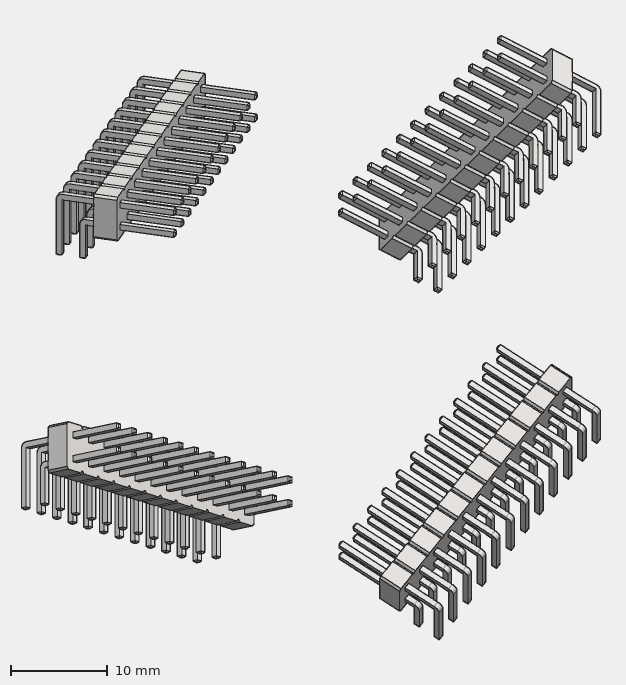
import cadquery as cq


header_length = 30.48
column_count = 12
row_count = 2
pin_width = 0.65
overall_depth = 12.9
overall_height = 8.08
upper_leg_to_housing = 4.35
notch_depth = 0.253
tip_chamfer = 0.15

pitch = header_length / column_count
housing_depth = pitch
housing_height = row_count * pitch
bend_radius = pin_width

pin_end_x = overall_depth
housing_top_z = overall_height
housing_bottom_z = housing_top_z - housing_height
upper_pin_z = housing_top_z - pitch / 2


def make_housing():
    """Row of square-pitch cells whose chamfered corners meet as V-notches."""
    cells = cq.Workplane("XY")
    for column in range(column_count):
        cell = (
            cq.Workplane("XY")
            .box(housing_depth, pitch, housing_height, centered=False)
            .edges("|X")
            .chamfer(notch_depth)
            .translate((upper_leg_to_housing, column * pitch, housing_bottom_z))
        )
        cells = cells.union(cell)
    return cells


def make_pin(row):
    """Bent pin of one row, centred on Y = 0; each lower row is shifted one pitch toward +X."""
    leg_x = row * pitch
    top_z = upper_pin_z - row * pitch + pin_width / 2
    return (
        cq.Workplane("XZ")
        .moveTo(leg_x, 0)
        .lineTo(leg_x, top_z - bend_radius)
        .radiusArc((leg_x + bend_radius, top_z), bend_radius)
        .lineTo(pin_end_x, top_z)
        .lineTo(pin_end_x, top_z - pin_width)
        .lineTo(leg_x + pin_width, top_z - pin_width)
        .lineTo(leg_x + pin_width, 0)
        .close()
        .extrude(pin_width / 2, both=True)
        .faces("<Z or >X")
        .chamfer(tip_chamfer)
    )


header = make_housing()
for row in range(row_count):
    pin = make_pin(row)
    for column in range(column_count):
        header = header.union(pin.translate((0, (column + 0.5) * pitch, 0)))

result = header.translate((0, -header_length / 2, 0))